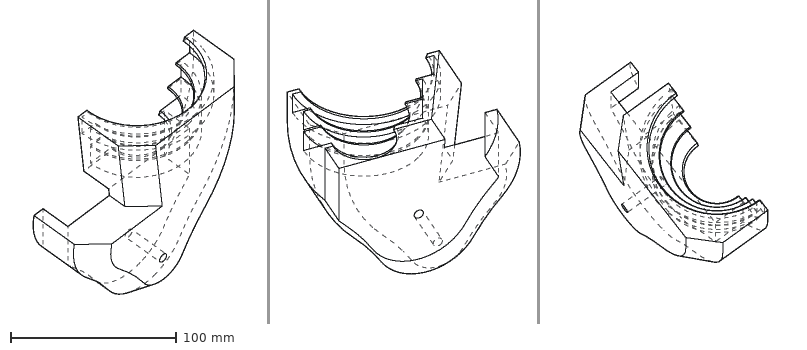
import cadquery as cq
import math

half_width = 50.0
total_length = 138.8
total_height = 139.8
edge_chamfer = 16.0
back_y = half_width
front_y = back_y - total_length

pin_y = -27.5
pin_z = -104.7
pin_hole_diameter = 6.0
nose_radius = total_height + pin_z
back_radius = 111.8
back_arc_z = -22.4
front_radius = 44.0
front_arc_z = -66.4
blend_radius = 137.0

step_z = -58.1
tower_front_top_y = -half_width
tower_front_step_y = -44.3

bore_axis_x = 1.0
seat_depths = [14.4, 14.4, 14.8]
seat_radii = [46.5, 39.1, 39.1]
lip_radii = [42.2, 35.0, 28.0, 21.0]
lip_heights = [2.8, 1.4, 1.4, 2.8]
lip_slope = 0.4

slot_width_x = 21.0
slot_half_length = 52.5
slot_top_z = -(sum(lip_heights) + sum(seat_depths))


def blend_center(upper_center, upper_radius, side):
    """Center of the hollow arc touching the nose and an upper arc; side is +1 back, -1 front."""
    dy = upper_center[0] - pin_y
    dz = upper_center[1] - pin_z
    distance = math.hypot(dy, dz)
    to_nose = nose_radius + blend_radius
    to_upper = upper_radius + blend_radius
    along = (to_nose**2 - to_upper**2 + distance**2) / (2 * distance)
    across = math.sqrt(to_nose**2 - along**2)
    return (
        pin_y + (along * dy + side * across * dz) / distance,
        pin_z + (along * dz - side * across * dy) / distance,
    )


def point_toward(center, radius, target):
    """Point on a circle in the direction of the target."""
    dy = target[0] - center[0]
    dz = target[1] - center[1]
    scale = radius / math.hypot(dy, dz)
    return (center[0] + scale * dy, center[1] + scale * dz)


def midpoint(start, end):
    return ((start[0] + end[0]) / 2, (start[1] + end[1]) / 2)


def add_arc(outline, center, radius, start, end):
    """Extend the outline by the minor arc from start to end."""
    return outline.threePointArc(point_toward(center, radius, midpoint(start, end)), end)


def make_block():
    """Rounded prism, chamfered along its outer side except at the top."""
    pin = (pin_y, pin_z)
    back = (back_y - back_radius, back_arc_z)
    front = (front_y + front_radius, front_arc_z)
    back_blend = blend_center(back, back_radius, 1)
    front_blend = blend_center(front, front_radius, -1)

    back_start = (back_y, back_arc_z)
    back_end = point_toward(back, back_radius, back_blend)
    nose_start = point_toward(pin, nose_radius, back_blend)
    nose_end = point_toward(pin, nose_radius, front_blend)
    front_start = point_toward(front, front_radius, front_blend)
    front_end_rise = step_z - front_arc_z
    front_end = (front[0] - math.sqrt(front_radius**2 - front_end_rise**2), step_z)

    outline = cq.Workplane("YZ").moveTo(back_y, 0).lineTo(*back_start)
    outline = add_arc(outline, back, back_radius, back_start, back_end)
    outline = add_arc(outline, back_blend, blend_radius, back_end, nose_start)
    outline = outline.threePointArc((pin_y, -total_height), nose_end)
    outline = add_arc(outline, front_blend, blend_radius, nose_end, front_start)
    outline = add_arc(outline, front, front_radius, front_start, front_end)
    block = outline.lineTo(front_end[0], 0).close().extrude(half_width)
    return block.faces(">X").edges("not >Z").chamfer(edge_chamfer)


def make_tower_envelope():
    """Space kept above the step: leaning front wall with a chamfered outer edge."""
    lean = (tower_front_step_y - tower_front_top_y) / -step_z
    bottom_front_y = tower_front_top_y + lean * total_height
    tower = (
        cq.Workplane("YZ")
        .polyline([
            (tower_front_top_y, 0),
            (back_y, 0),
            (back_y, -total_height),
            (bottom_front_y, -total_height),
        ])
        .close()
        .extrude(half_width)
    )
    return tower.faces(">X").edges("<Y").chamfer(edge_chamfer)


def make_seats():
    """Revolved cavity of all lips and seats."""
    profile = [(0, 0)]
    z = 0
    for index, (radius, height) in enumerate(zip(lip_radii, lip_heights)):
        profile.append((radius, z))
        z -= height
        profile.append((radius - lip_slope * height, z))
        if index < len(seat_radii):
            profile.append((seat_radii[index], z))
            z -= seat_depths[index]
            profile.append((seat_radii[index], z))
    profile.append((0, z))
    seats = cq.Workplane("XZ").polyline(profile).close().revolve(360, (0, 0, 0), (0, 1, 0))
    return seats.translate((bore_axis_x, 0, 0))


below_step = cq.Workplane("XY").box(
    half_width, total_length, total_height + step_z, centered=False
).translate((0, front_y, -total_height))

slot = cq.Workplane("XY").box(
    slot_width_x, 2 * slot_half_length, total_height + slot_top_z, centered=False
).translate((0, pin_y - slot_half_length, -total_height))

pin_hole = (
    cq.Workplane("YZ").center(pin_y, pin_z).circle(pin_hole_diameter / 2).extrude(half_width)
)

result = make_block().intersect(make_tower_envelope().union(below_step))
result = result.cut(make_seats()).cut(slot).cut(pin_hole)